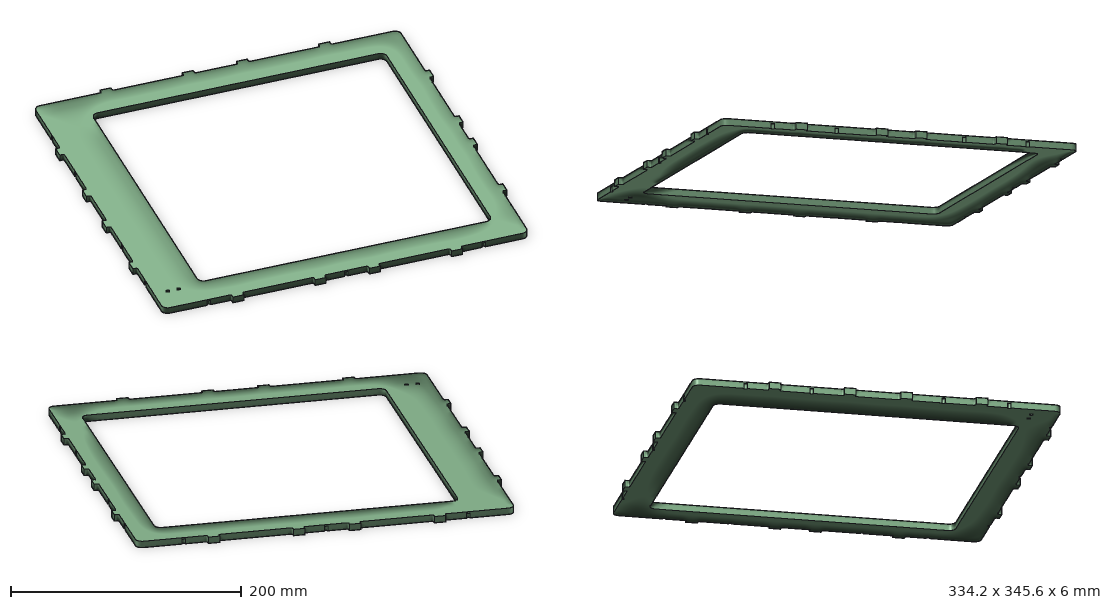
import cadquery as cq

OVERALL_X = 334.2
OVERALL_Y = 345.6
THICKNESS = 6.0

TAB_REACH = 4.0
TAB_WIDTH = 10.2
TAB_ROOT_RADIUS = 1.5
OUTER_TAB_OFFSET = 91.8
FRONT_TAB_OFFSETS = (25.0, OUTER_TAB_OFFSET)
BACK_TAB_OFFSETS = (18.0, OUTER_TAB_OFFSET)
SIDE_TAB_OFFSETS = (25.0, 101.0)

PLATE_X = OVERALL_X - 2 * TAB_REACH
PLATE_Y = OVERALL_Y - 2 * TAB_REACH
CORNER_RADIUS = 6.0
WINDOW_SIZE = 271.0
WINDOW_CENTER_Y = 9.9

HOLE_DIAMETER = 3.1
HOLE_X = 139.0
HOLE_YS = (-146.0, -156.0)

NOTCH_DIAMETER = HOLE_DIAMETER
NOTCH_DEPTH = 4.5
NOTCH_XS = (-117.0, -58.5, 58.5, 117.0)
NOTCH_YS = (-127.0, 0.0, 127.0)


def mirrored(offsets):
    """Each offset on both sides of the centre line."""
    return [sign * offset for offset in offsets for sign in (-1, 1)]


def make_plate():
    plate = cq.Workplane("XY").rect(PLATE_X, PLATE_Y).extrude(THICKNESS)
    return plate.edges("|Z").fillet(CORNER_RADIUS)


def make_tab(edge_distance, along, angle):
    """One tab with concave root fillets, built on the +Y edge and turned about Z."""
    half_width = TAB_WIDTH / 2
    half_foot = half_width + TAB_ROOT_RADIUS
    tip = edge_distance + TAB_REACH
    fillet_end = edge_distance + TAB_ROOT_RADIUS
    inside = edge_distance - TAB_REACH
    tab = (
        cq.Workplane("XY")
        .moveTo(-half_foot, inside)
        .lineTo(-half_foot, edge_distance)
        .radiusArc((-half_width, fillet_end), -TAB_ROOT_RADIUS)
        .lineTo(-half_width, tip)
        .lineTo(half_width, tip)
        .lineTo(half_width, fillet_end)
        .radiusArc((half_foot, edge_distance), -TAB_ROOT_RADIUS)
        .lineTo(half_foot, inside)
        .close()
        .extrude(THICKNESS)
    )
    return tab.translate((along, 0, 0)).rotate((0, 0, 0), (0, 0, 1), angle)


def add_tabs(body):
    edges = (
        (PLATE_Y / 2, BACK_TAB_OFFSETS, 0),
        (PLATE_X / 2, SIDE_TAB_OFFSETS, 90),
        (PLATE_Y / 2, FRONT_TAB_OFFSETS, 180),
        (PLATE_X / 2, SIDE_TAB_OFFSETS, 270),
    )
    for edge_distance, offsets, angle in edges:
        for along in mirrored(offsets):
            body = body.union(make_tab(edge_distance, along, angle))
    return body


def cut_window(body):
    window = (
        cq.Workplane("XY")
        .center(0, WINDOW_CENTER_Y)
        .rect(WINDOW_SIZE, WINDOW_SIZE)
        .extrude(THICKNESS)
        .edges("|Z")
        .fillet(CORNER_RADIUS)
    )
    return body.cut(window)


def cut_holes(body):
    points = [(HOLE_X, y) for y in HOLE_YS]
    holes = cq.Workplane("XY").pushPoints(points).circle(HOLE_DIAMETER / 2).extrude(THICKNESS)
    return body.cut(holes)


def cut_notches(body):
    """Blind half-round notches, centred on the straight plate edges."""
    points = [(x, y) for x in NOTCH_XS for y in mirrored([PLATE_Y / 2])]
    points += [(x, y) for x in mirrored([PLATE_X / 2]) for y in NOTCH_YS]
    notches = cq.Workplane("XY").pushPoints(points).circle(NOTCH_DIAMETER / 2).extrude(NOTCH_DEPTH)
    return body.cut(notches)


frame = add_tabs(make_plate())
frame = cut_window(frame)
frame = cut_holes(frame)
result = cut_notches(frame)